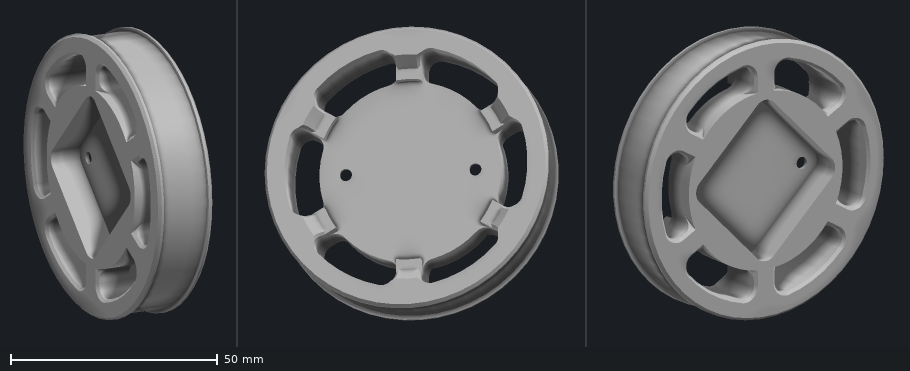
import cadquery as cq
import math

wheel_radius = 35.0
wheel_width = 15.0
edge_chamfer = 0.7

tread_radius = 68.0 / 2
flange_width = 1.3

hub_radius = 22.5
hub_width = 8.95

spoke_count = 6
spoke_width = 6.0
spoke_rear = 12.1
slope_start_radius = 25.05
rear_window_chamfer = 0.6

window_outer_radius = 29.95
window_outer_fillet = 3.0
window_inner_fillet = 3.0
window_overlap = 2.1

pocket_side = 30.7
pocket_corner_radius = 3.35
pocket_depth = 8.0
screw_hole_diameter = 3.0
screw_hole_spacing = 31.9

tolerance = 0.1


def cylinder(radius, start, end):
    """Solid cylinder on the wheel axis between two Y positions."""
    return cq.Workplane("XZ", origin=(0, start, 0)).circle(radius).extrude(start - end)


def window_corner(radius, side):
    """Point where a spoke flank meets a radius; side is -1 or +1 about the window's centre line (+X)."""
    angle = math.pi / spoke_count - math.asin(spoke_width / 2 / radius)
    return (radius * math.cos(angle), side * radius * math.sin(angle))


def window():
    """Cutter for one window, with the corners at the rim rounded."""
    inner_radius = hub_radius - window_overlap
    return (
        cq.Workplane("XZ")
        .moveTo(*window_corner(inner_radius, -1))
        .lineTo(*window_corner(window_outer_radius, -1))
        .threePointArc((window_outer_radius, 0), window_corner(window_outer_radius, 1))
        .lineTo(*window_corner(inner_radius, 1))
        .threePointArc((inner_radius, 0), window_corner(inner_radius, -1))
        .close()
        .extrude(-wheel_width)
        .edges("|Y")
        .edges(">X")
        .fillet(window_outer_fillet)
    )


def rear_recess():
    """Space behind the hub and spokes, widening at 45 degrees towards the rear face."""
    slope_end_radius = slope_start_radius + wheel_width - spoke_rear
    return (
        cq.Workplane("XY")
        .moveTo(0, spoke_rear)
        .lineTo(slope_start_radius, spoke_rear)
        .lineTo(slope_end_radius, wheel_width)
        .lineTo(0, wheel_width)
        .close()
        .revolve(360, (0, 0), (0, 1))
    )


def is_slope_side(edge):
    """True for the curves where the sloped recess wall runs out into the windows."""
    return edge.geomType() in ("HYPERBOLA", "BSPLINE")


def is_hub_corner(edge):
    """True for the corners between the spoke flanks and the hub."""
    centre = edge.Center()
    distance_from_axis = math.hypot(centre.x, centre.z)
    return abs(distance_from_axis - hub_radius) < tolerance and edge_chamfer < centre.y < hub_width


def spoked_disc():
    """Recessed disc with windows, chamfered around the rim and around every window."""
    disc = cylinder(wheel_radius, 0, wheel_width).cut(rear_recess())
    for index in range(spoke_count):
        disc = disc.cut(window().rotate((0, 0, 0), (0, 1, 0), index * 360 / spoke_count))
    disc = disc.edges().filter(is_slope_side).chamfer(rear_window_chamfer)
    disc = disc.faces("<Y").edges().chamfer(edge_chamfer)
    return disc.faces(">Y").edges(cq.selectors.RadiusNthSelector(-1)).chamfer(edge_chamfer)


def add_hub(disc):
    """Disc with the hub filled in and blended into the spoke flanks."""
    hub = cylinder(hub_radius, 0, hub_width)
    wheel = disc.cut(cylinder(hub_radius, 0, wheel_width)).union(hub)
    return wheel.edges("|Y").filter(is_hub_corner).fillet(window_inner_fillet)


def tread_groove():
    """Ring removed from the rim between the flanges."""
    start = flange_width
    end = wheel_width - flange_width
    return cylinder(wheel_radius + edge_chamfer, start, end).cut(cylinder(tread_radius, start, end))


def pocket():
    """Square pocket standing on one corner."""
    return (
        cq.Workplane("XZ")
        .rect(pocket_side, pocket_side)
        .extrude(-pocket_depth)
        .edges("|Y")
        .fillet(pocket_corner_radius)
        .rotate((0, 0, 0), (0, 1, 0), 45)
    )


def screw_holes():
    """Two holes through the pocket floor."""
    return (
        cq.Workplane("XZ")
        .pushPoints([(-screw_hole_spacing / 2, 0), (screw_hole_spacing / 2, 0)])
        .circle(screw_hole_diameter / 2)
        .extrude(-hub_width)
    )


wheel = add_hub(spoked_disc())
result = wheel.cut(tread_groove()).cut(pocket()).cut(screw_holes())